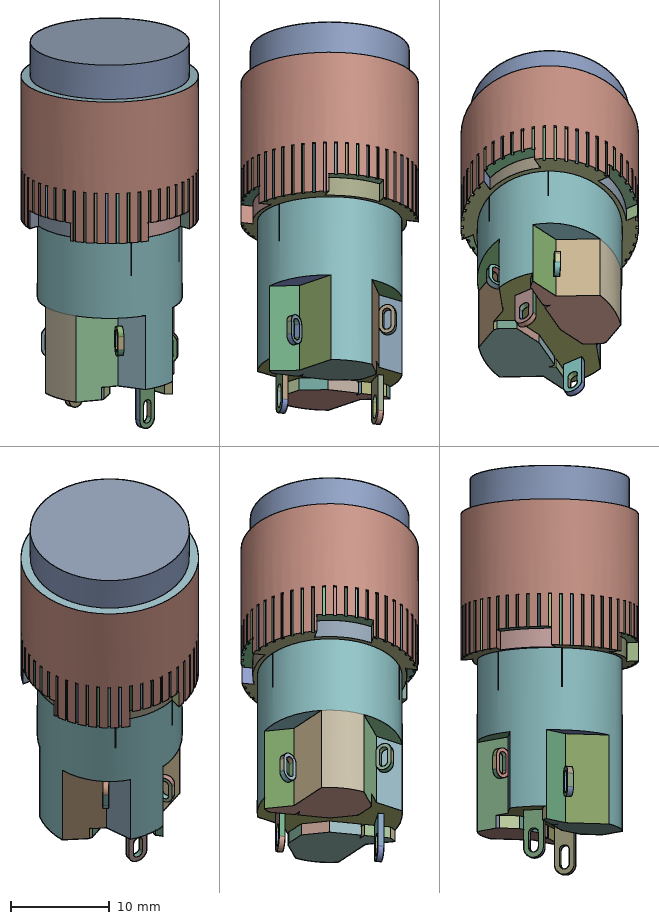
import cadquery as cq
import math

base_z = 3.6
shelf_z = 4.9
cross_top_z = 12.75
block_bottom_z = 17.2
collar_bottom_z = 21.17
window_top_z = 23.1
groove_top_z = 26.45
bezel_top_z = 36.18
cap_top_z = 39.8

cap_diameter = 16.1
bezel_diameter = 18.0
sleeve_diameter = 15.6
barrel_diameter = 14.7
barrel_radius = barrel_diameter / 2

groove_count = 50
groove_width = 0.28
groove_depth = 0.25
window_width = 5.85

block_half_width = 3.42
block_half_length = 6.53

x_arm_half_width = 1.95
y_arm_half_width = 2.2
inner_corner_x = 4.25
inner_corner_y = 3.05

pin_slot_half_width = 1.35
slot_mouth_x = 6.53
slot_nick_x = 3.82
slot_nick_width = 0.3
slot_nick_depth = 0.6
pocket_points = [(-0.25, -pin_slot_half_width), (2.45, -2.43), (3.42, -4.2), (3.45, -4.78)]

terminal_thickness = 0.6
pin_offset = 5.1
pin_width = 2.1
pin_slot_width = 1.05
pin_slot_length = 2.45
pin_slot_bottom_z = 0.55
lug_width = 1.67
lug_height = 3.05
lug_slot_width = 0.88
lug_slot_height = 2.25
lug_angle = 33.0
lug_x = 4.98
lug_y = 3.6
low_lug_z = 7.7
high_lug_z = 9.95


def cylinder(diameter, bottom_z, top_z):
    return cq.Workplane("XY").workplane(offset=bottom_z).circle(diameter / 2).extrude(top_z - bottom_z)


def turned_body():
    cap = cylinder(cap_diameter, bezel_top_z, cap_top_z)
    bezel = cylinder(bezel_diameter, collar_bottom_z, bezel_top_z)
    barrel = cylinder(barrel_diameter, cross_top_z, collar_bottom_z)
    return bezel.union(cap).union(barrel)


def collar_windows():
    """Openings on the four sides of the collar, cut inwards as far as the sleeve."""
    height = window_top_z - collar_bottom_z
    bars = cq.Workplane("XY").workplane(offset=collar_bottom_z)
    bars = bars.rect(window_width, 2 * bezel_diameter).extrude(height)
    bars = bars.union(bars.rotate((0, 0, 0), (0, 0, 1), 90))
    return bars.cut(cylinder(sleeve_diameter, collar_bottom_z, window_top_z))


def grip_grooves():
    """Equally spaced upright grooves around the collar, one of them facing -Y."""
    return (
        cq.Workplane("XY")
        .workplane(offset=collar_bottom_z)
        .polarArray(bezel_diameter / 2, -90, 360, groove_count)
        .rect(2 * groove_depth, groove_width)
        .extrude(groove_top_z - collar_bottom_z)
    )


def latch_block():
    """Flat-sided block through the barrel whose four upright corners stand just proud of it."""
    height = collar_bottom_z - block_bottom_z
    block = cq.Workplane("XY").workplane(offset=block_bottom_z)
    return block.rect(2 * block_half_length, 2 * block_half_width).extrude(height)


def terminal_base():
    """Four rounded arms with shallow V-shaped valleys between them."""
    x_arm_x = math.sqrt(barrel_radius**2 - x_arm_half_width**2)
    y_arm_y = math.sqrt(barrel_radius**2 - y_arm_half_width**2)
    outline = (
        cq.Workplane("XY")
        .workplane(offset=base_z)
        .moveTo(x_arm_x, -x_arm_half_width)
        .threePointArc((barrel_radius, 0), (x_arm_x, x_arm_half_width))
        .lineTo(inner_corner_x, inner_corner_y)
        .lineTo(y_arm_half_width, y_arm_y)
        .threePointArc((0, barrel_radius), (-y_arm_half_width, y_arm_y))
        .lineTo(-inner_corner_x, inner_corner_y)
        .lineTo(-x_arm_x, x_arm_half_width)
        .threePointArc((-barrel_radius, 0), (-x_arm_x, -x_arm_half_width))
        .lineTo(-inner_corner_x, -inner_corner_y)
        .lineTo(-y_arm_half_width, -y_arm_y)
        .threePointArc((0, -barrel_radius), (y_arm_half_width, -y_arm_y))
        .lineTo(inner_corner_x, -inner_corner_y)
        .close()
    )
    return outline.extrude(cross_top_z - base_z)


def underside_pocket():
    """Half of the pocket under the base: the +X half of the pin slot and the open corner beside it."""
    outer_x = bezel_diameter / 2
    mouth_run = outer_x - slot_mouth_x
    side = pin_slot_half_width
    return (
        cq.Workplane("XY")
        .workplane(offset=base_z)
        .polyline(pocket_points)
        .lineTo(outer_x, pocket_points[-1][1])
        .lineTo(outer_x, side + mouth_run)
        .lineTo(slot_mouth_x, side)
        .lineTo(slot_nick_x, side)
        .lineTo(slot_nick_x - slot_nick_width, side + slot_nick_depth)
        .lineTo(slot_nick_x - slot_nick_width, side)
        .lineTo(pocket_points[0][0], side)
        .close()
        .extrude(shelf_z - base_z)
    )


def pin():
    """Flat solder pin on the +X side with a rounded tip and an upright slot."""
    tip_radius = pin_width / 2
    blade_height = cross_top_z - tip_radius
    start = cq.Workplane("YZ").workplane(offset=pin_offset - terminal_thickness / 2)
    blade = start.center(0, tip_radius + blade_height / 2).rect(pin_width, blade_height)
    blade = blade.extrude(terminal_thickness)
    tip = start.center(0, tip_radius).circle(tip_radius).extrude(terminal_thickness)
    slot = start.center(0, pin_slot_bottom_z + pin_slot_length / 2)
    slot = slot.slot2D(pin_slot_length, pin_slot_width, 90).extrude(terminal_thickness)
    return blade.union(tip).cut(slot)


def side_lug(x_side, y_side, center_z):
    """Upright ring-shaped solder lug standing in the valley of one quadrant."""
    ring = (
        cq.Workplane("XZ")
        .slot2D(lug_height, lug_width, 90)
        .slot2D(lug_slot_height, lug_slot_width, 90)
        .extrude(terminal_thickness / 2, both=True)
    )
    turned = ring.rotate((0, 0, 0), (0, 0, 1), x_side * y_side * lug_angle)
    return turned.translate((x_side * lug_x, y_side * lug_y, center_z))


def both_ends(shape):
    """The shape together with its half-turn copy about Z."""
    return shape.union(shape.rotate((0, 0, 0), (0, 0, 1), 180))


result = turned_body().cut(collar_windows()).cut(grip_grooves())
result = result.union(latch_block())
result = result.union(terminal_base()).cut(both_ends(underside_pocket()))
result = result.union(both_ends(pin()))
for x_side in (-1, 1):
    for y_side in (-1, 1):
        lug_z = low_lug_z if x_side == y_side else high_lug_z
        result = result.union(side_lug(x_side, y_side, lug_z))